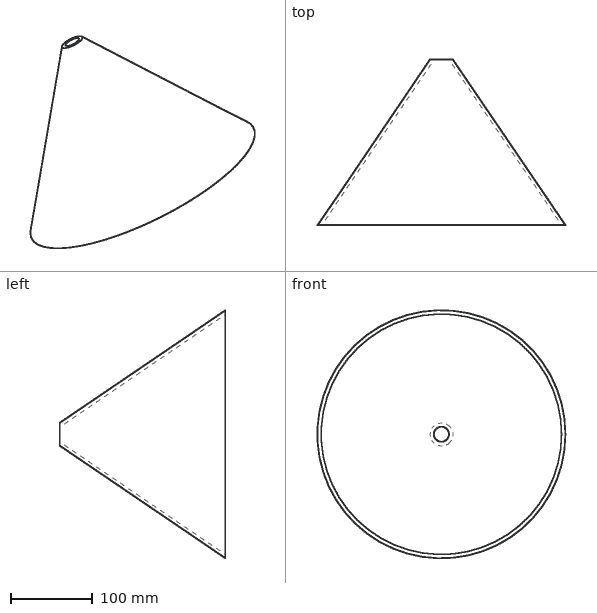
import cadquery as cq

length = 203.0
mouth_outer_radius = 152.0
mouth_inner_radius = 147.0
tip_outer_radius = 14.0
wall_across_axis = mouth_outer_radius - mouth_inner_radius
tip_inner_radius = tip_outer_radius - wall_across_axis

wall_section = (
    cq.Workplane("XY")
    .moveTo(mouth_inner_radius, 0)
    .lineTo(mouth_outer_radius, 0)
    .lineTo(tip_outer_radius, length)
    .lineTo(tip_inner_radius, length)
    .close()
)

result = wall_section.revolve(360, (0, 0), (0, 1))